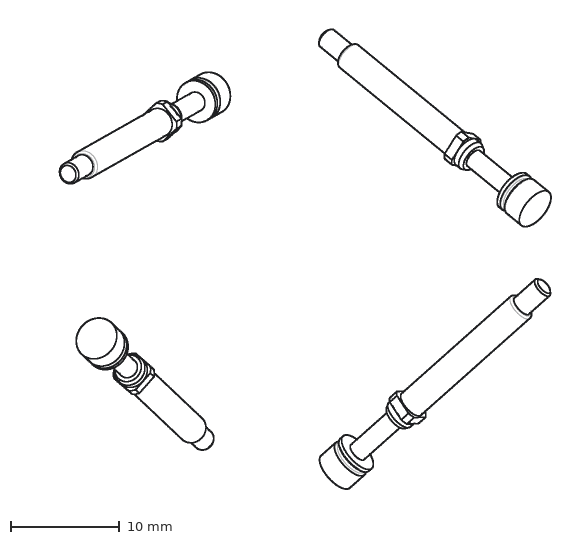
import cadquery as cq

total_length = 28.3

head_diameter = 4.0
cap_length = 2.0
groove_diameter = 3.5
groove_width = 0.6
groove_root_radius = 0.15
flange_thickness = 0.4

neck_diameter = 1.85
neck_length = 5.3

collar_diameter = 3.0
collar_length = 1.02
taper_length = 0.42
taper_end_diameter = 2.6

square_across_flats = 3.03
square_corner_diameter = 3.65
square_length = 1.0

barrel_diameter = 2.7
barrel_end_radius = 0.2
tip_diameter = 2.0
tip_length = 3.0
tip_chamfer = 0.2

groove_start = cap_length
flange_start = groove_start + groove_width
neck_start = flange_start + flange_thickness
collar_start = neck_start + neck_length
square_start = collar_start + collar_length
barrel_start = square_start + square_length
tip_start = total_length - tip_length
barrel_length = tip_start - barrel_start


def cross_section_plane(station):
    """Sketch plane across the axis at a station, facing the tip."""
    return cq.Workplane("XZ", origin=(0, total_length / 2 - station, 0))


def cylinder(station, length, diameter):
    """Coaxial cylinder from a station towards the tip."""
    return cross_section_plane(station).circle(diameter / 2).extrude(length)


def make_head():
    cap = cylinder(0, cap_length, head_diameter)
    groove_core = cylinder(groove_start, groove_width, groove_diameter)
    flange = cylinder(flange_start, flange_thickness, head_diameter)
    head = cap.union(groove_core).union(flange)
    root_edges = head.edges(cq.selectors.RadiusNthSelector(0))
    return root_edges.fillet(groove_root_radius)


def make_collar():
    radial_taper = (collar_diameter - taper_end_diameter) / 2
    collar = cylinder(collar_start, collar_length, collar_diameter)
    head_side_rim = collar.faces(">Y").edges()
    return head_side_rim.chamfer(taper_length, radial_taper)


def make_square():
    return (
        cross_section_plane(square_start)
        .transformed(rotate=(0, 0, 45))
        .rect(square_across_flats, square_across_flats)
        .extrude(square_length)
        .intersect(cylinder(square_start, square_length, square_corner_diameter))
    )


def make_barrel():
    barrel = cylinder(barrel_start, barrel_length, barrel_diameter)
    tip_side_rim = barrel.faces("<Y").edges()
    return tip_side_rim.fillet(barrel_end_radius)


def make_tip():
    tip = cylinder(tip_start, tip_length, tip_diameter)
    end_rim = tip.faces("<Y").edges()
    return end_rim.chamfer(tip_chamfer)


result = (
    make_head()
    .union(cylinder(neck_start, neck_length, neck_diameter))
    .union(make_collar())
    .union(make_square())
    .union(make_barrel())
    .union(make_tip())
)